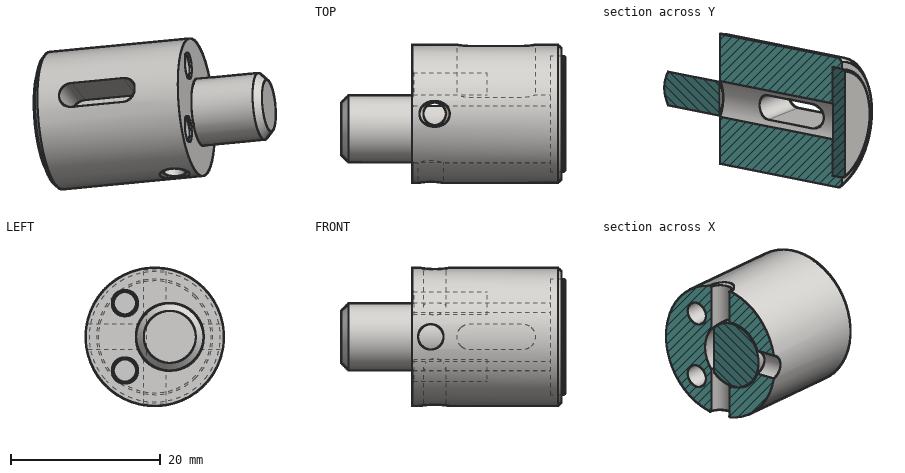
import cadquery as cq
import math

total_length = 30.0
housing_diameter = 18.5
housing_front = 9.5
cap_projection = 0.5
housing_end = total_length - cap_projection
housing_chamfer = 0.5
housing_radius = housing_diameter / 2

pin_diameter = 9.0
pin_axis_y = -2.0
pin_chamfer = 1.02
pin_clearance = 0.1
pin_flat_offset = 3.1

cap_diameter = 15.5
cap_thickness = 2.0
cap_chamfer = 0.25
cap_front = total_length - cap_thickness

threaded_diameter = 3.0
cross_hole_x = 12.5
cross_hole_mouth_diameter = 4.05
cross_hole_mouth_half_angle = math.radians(60)
side_hole_x = 12.0
side_hole_diameter = 3.4

face_hole_y = 4.0
face_hole_z = 4.5
face_hole_mouth_diameter = 3.5
face_hole_depth = 10.0
face_hole_mouth_half_angle = math.radians(45)

slot_start = 15.48
slot_length = 10.5
slot_width = 3.4


def rod(diameter, x_start, x_end, y=0.0, z=0.0):
    """Cylinder along X."""
    plane = cq.Workplane("YZ", origin=(x_start, y, z))
    return plane.circle(diameter / 2).extrude(x_end - x_start)


def countersink(mouth_diameter, half_angle, mouth_center, inward):
    """Cone that narrows from the mouth to the hole diameter."""
    mouth_radius = mouth_diameter / 2
    hole_radius = threaded_diameter / 2
    depth = (mouth_radius - hole_radius) / math.tan(half_angle)
    apex_direction = cq.Vector(*inward)
    cone = cq.Solid.makeCone(mouth_radius, hole_radius, depth, cq.Vector(*mouth_center), apex_direction)
    return cq.Workplane(cone)


def cross_hole():
    """Vertical through hole, countersunk at both ends."""
    plane = cq.Workplane("XY", origin=(cross_hole_x, 0, -housing_radius))
    cutter = plane.circle(threaded_diameter / 2).extrude(housing_diameter)
    for side in (-1, 1):
        mouth_center = (cross_hole_x, 0, side * housing_radius)
        mouth = countersink(
            cross_hole_mouth_diameter, cross_hole_mouth_half_angle, mouth_center, (0, 0, -side)
        )
        cutter = cutter.union(mouth)
    return cutter


def face_hole(z):
    """Countersunk blind hole in the front face."""
    cutter = rod(threaded_diameter, housing_front, housing_front + face_hole_depth, face_hole_y, z)
    mouth_center = (housing_front, face_hole_y, z)
    mouth = countersink(face_hole_mouth_diameter, face_hole_mouth_half_angle, mouth_center, (1, 0, 0))
    return cutter.union(mouth)


def side_hole():
    """Radial hole from the -Y side into the pin bore."""
    plane = cq.Workplane("XZ", origin=(side_hole_x, pin_axis_y, 0))
    return plane.circle(side_hole_diameter / 2).extrude(housing_radius)


def side_slot():
    """Round-ended slot from the +Y side into the pin bore."""
    plane = cq.Workplane("XZ", origin=(slot_start + slot_length / 2, pin_axis_y, 0))
    return plane.slot2D(slot_length, slot_width).extrude(-(housing_radius - pin_axis_y))


def make_housing():
    """Barrel with the pin bore, the cap recess and the holes and slot in its walls."""
    barrel = rod(housing_diameter, housing_front, housing_end).faces(">X").chamfer(housing_chamfer)
    pin_bore_diameter = pin_diameter + pin_clearance
    barrel = barrel.cut(rod(pin_bore_diameter, housing_front, cap_front, pin_axis_y))
    barrel = barrel.cut(rod(cap_diameter, cap_front, housing_end))
    barrel = barrel.cut(cross_hole()).cut(side_hole()).cut(side_slot())
    for side in (-1, 1):
        barrel = barrel.cut(face_hole(side * face_hole_z))
    return barrel


def make_pin():
    """Chamfered pin, flattened on its +Y side where it lies inside the housing."""
    shank = rod(pin_diameter, 0, cap_front, pin_axis_y).faces("<X").chamfer(pin_chamfer)
    flat_cutter = cq.Workplane("XY").box(
        cap_front - housing_front, pin_diameter, pin_diameter, centered=(False, False, True)
    )
    return shank.cut(flat_cutter.translate((housing_front, pin_axis_y + pin_flat_offset, 0)))


def make_cap():
    """Disc with a chamfered rear edge that closes the housing."""
    return rod(cap_diameter, cap_front, total_length).faces(">X").chamfer(cap_chamfer)


housing = make_housing()
pin = make_pin()
cap = make_cap()

result = cq.Compound.makeCompound([housing.val(), pin.val(), cap.val()])